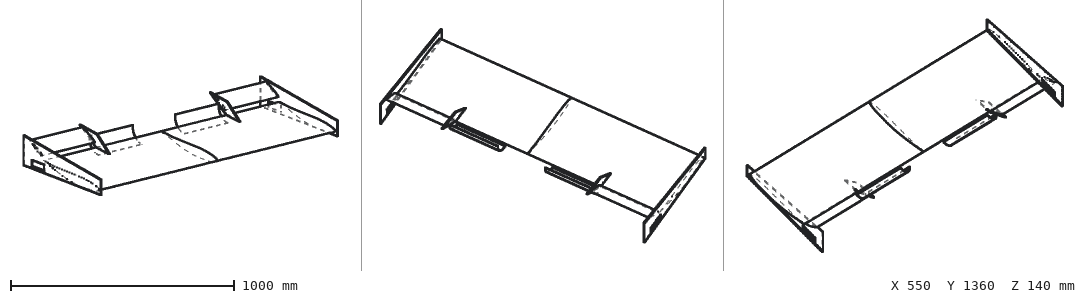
import cadquery as cq
import math

half_span = 680.0
end_plate_length = 550.0
end_plate_rear_height = 140.0
end_plate_front_height = 72.0
plate_thickness = 5.0
end_plate_inner_y = half_span - plate_thickness

window_rear_x = 57.0
window_length = 90.0
window_bottom_z = 11.0
window_height = 29.0

wing_trailing_edge = (137.0, 57.0)
wing_upper_points = [(200.0, 50.0), (283.0, 48.0), (393.0, 48.0), (454.0, 44.0), (507.0, 34.0)]
wing_nose = (535.0, 22.0)
wing_lower_points = [(507.0, 7.0), (460.0, 1.0), (398.0, 0.7), (324.0, 8.0), (249.0, 25.0), (200.0, 38.0)]

flap_trailing_edge = (44.0, 129.0)
flap_upper_points = [(68.0, 115.0), (95.0, 102.0), (118.0, 88.0)]
flap_nose = (129.0, 78.0)
flap_lower_points = [(122.0, 76.0), (95.0, 88.0), (70.0, 106.0)]

support_outer_y = 375.0
support_rear = (20.0, 133.0)
support_top = (141.0, 120.0)
support_front = (231.0, 49.0)

deflector_length = 249.0
deflector_radius = 68.0
deflector_thickness = 3.0
deflector_axis_x = 150.0
deflector_axis_z = 90.0
deflector_top_z = 97.0


def extrude_along_y(profile, start_y, end_y):
    """Extrude an XZ profile from start_y to the larger end_y."""
    return profile.extrude(start_y - end_y).translate((0, start_y, 0))


def airfoil(trailing_edge, upper_points, nose, lower_points):
    """Closed airfoil outline with a sharp trailing edge and a rounded nose."""
    around_nose = upper_points + [nose] + lower_points + [trailing_edge]
    return cq.Workplane("XZ").moveTo(*trailing_edge).spline(around_nose, includeCurrent=True).close()


def make_wing():
    profile = airfoil(wing_trailing_edge, wing_upper_points, wing_nose, wing_lower_points)
    return extrude_along_y(profile, 0, end_plate_inner_y)


def make_flap_with_support(wing):
    """Flap and the support plate at its inner end, as one body seated on the wing."""
    profile = airfoil(flap_trailing_edge, flap_upper_points, flap_nose, flap_lower_points)
    flap = extrude_along_y(profile, support_outer_y - plate_thickness, end_plate_inner_y)
    outline = cq.Workplane("XZ").polyline(
        [support_rear, support_top, support_front, wing_trailing_edge]
    ).close()
    support = extrude_along_y(outline, support_outer_y - plate_thickness, support_outer_y)
    return flap.union(support.cut(wing))


def make_end_plate():
    """Tapered end plate with a rectangular window; the wing and flap end on its inner face."""
    outline = cq.Workplane("XZ").polyline([
        (0, 0),
        (end_plate_length, 0),
        (end_plate_length, end_plate_front_height),
        (0, end_plate_rear_height),
    ]).close()
    plate = extrude_along_y(outline, end_plate_inner_y, half_span)
    window = cq.Workplane("XY").box(
        window_length, plate_thickness, window_height, centered=False
    ).translate((window_rear_x, end_plate_inner_y, window_bottom_z))
    return plate.cut(window)


def make_deflector():
    """Thin trough: an arc from its upper rear edge down to its lowest line."""
    top_angle = math.pi - math.asin((deflector_top_z - deflector_axis_z) / deflector_radius)
    bottom_angle = 1.5 * math.pi
    middle_angle = (top_angle + bottom_angle) / 2
    inner_radius = deflector_radius - deflector_thickness

    def arc_point(radius, angle):
        return (
            deflector_axis_x + radius * math.cos(angle),
            deflector_axis_z + radius * math.sin(angle),
        )

    profile = (
        cq.Workplane("XZ")
        .moveTo(*arc_point(deflector_radius, top_angle))
        .threePointArc(
            arc_point(deflector_radius, middle_angle), arc_point(deflector_radius, bottom_angle)
        )
        .lineTo(*arc_point(inner_radius, bottom_angle))
        .threePointArc(arc_point(inner_radius, middle_angle), arc_point(inner_radius, top_angle))
        .close()
    )
    outer_y = support_outer_y - plate_thickness
    return extrude_along_y(profile, outer_y - deflector_length, outer_y)


wing_half = make_wing()
flap_with_support = make_flap_with_support(wing_half)
end_plate = make_end_plate()
deflector = make_deflector()

bodies = []
for body in (wing_half, flap_with_support, end_plate, deflector):
    bodies.append(body.val())
    bodies.append(body.mirror("XZ").val())

result = cq.Compound.makeCompound(bodies)